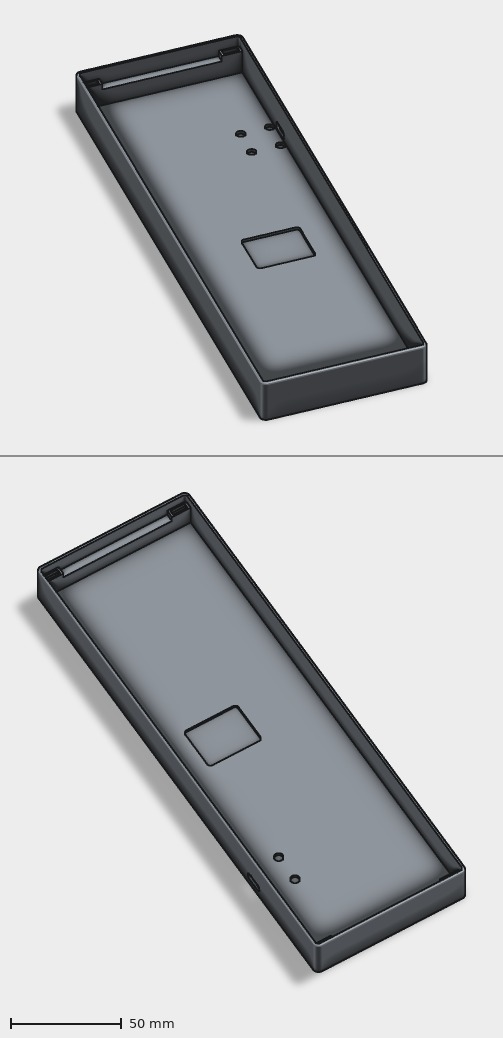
import cadquery as cq
length = 241.5
width = 80.5
height = 21.0
side_wall = 1.5
end_wall = 1.7
floor = 3.0
corner_radius = 3.0
rim_round = 1.0
inner_length = length - 2 * end_wall
inner_width = width - 2 * side_wall

ledge_depth = 4.0
ledge_top = 12.0

post_length = 10.0
post_top = 15.2
slot_width = 2.5
slot_length = 7.5
slot_depth = 2.5

pin_hole_diameter = 4.3
pin_hole_spacing = 14.0
pin_holes_x = -66.7
pin_holes_y = 29.5
pin_hole_depth = 1.7

cable_slot_length = 10.1
cable_slot_height = 4.0
cable_slot_z = 5.5

recess_length = 22.2
recess_width = 28.3
recess_x = 9.5
recess_y = 9.5
recess_depth = 1.5
recess_corner_radius = 1.7


def block(size_x, size_y, bottom, top, x=0.0, y=0.0):
    """Upright block centred on (x, y), between two heights."""
    return cq.Workplane("XY", origin=(x, y, bottom)).rect(size_x, size_y).extrude(top - bottom)


def tray():
    """Open box with rounded corners and a rounded outer rim."""
    outside = block(length, width, 0, height).edges("|Z").fillet(corner_radius)
    outside = outside.faces(">Z").edges().fillet(rim_round)
    inside = block(inner_length, inner_width, floor, height)
    inside = inside.edges("|Z").fillet(corner_radius - side_wall)
    return outside.cut(inside)


def end_ledge(side):
    """Ledge with its two slotted posts, on the end wall at side -1 or +1."""
    x = side * (inner_length - ledge_depth) / 2
    ledge = block(ledge_depth, inner_width, floor, ledge_top, x)
    for end in (-1, 1):
        y = end * (inner_width - post_length) / 2
        post = block(ledge_depth, post_length, floor, post_top, x, y)
        slot = block(slot_width, slot_length, post_top - slot_depth, post_top, x, y)
        ledge = ledge.union(post).cut(slot)
    return ledge


def pin_holes():
    """Four blind holes sunk into the floor."""
    return (
        cq.Workplane("XY", origin=(pin_holes_x, pin_holes_y, floor - pin_hole_depth))
        .rarray(pin_hole_spacing, pin_hole_spacing, 2, 2)
        .circle(pin_hole_diameter / 2)
        .extrude(pin_hole_depth)
    )


def cable_slot():
    """Round-ended opening through the back wall."""
    return (
        cq.Workplane("XZ", origin=(pin_holes_x, width / 2, cable_slot_z))
        .slot2D(cable_slot_length, cable_slot_height)
        .extrude(side_wall)
    )


def floor_recess():
    """Shallow recess with rounded corners, sunk into the floor."""
    recess = block(recess_length, recess_width, floor - recess_depth, floor, recess_x, recess_y)
    return recess.edges("|Z").fillet(recess_corner_radius)


result = tray()
for side in (-1, 1):
    result = result.union(end_ledge(side))
result = result.cut(pin_holes()).cut(cable_slot()).cut(floor_recess())